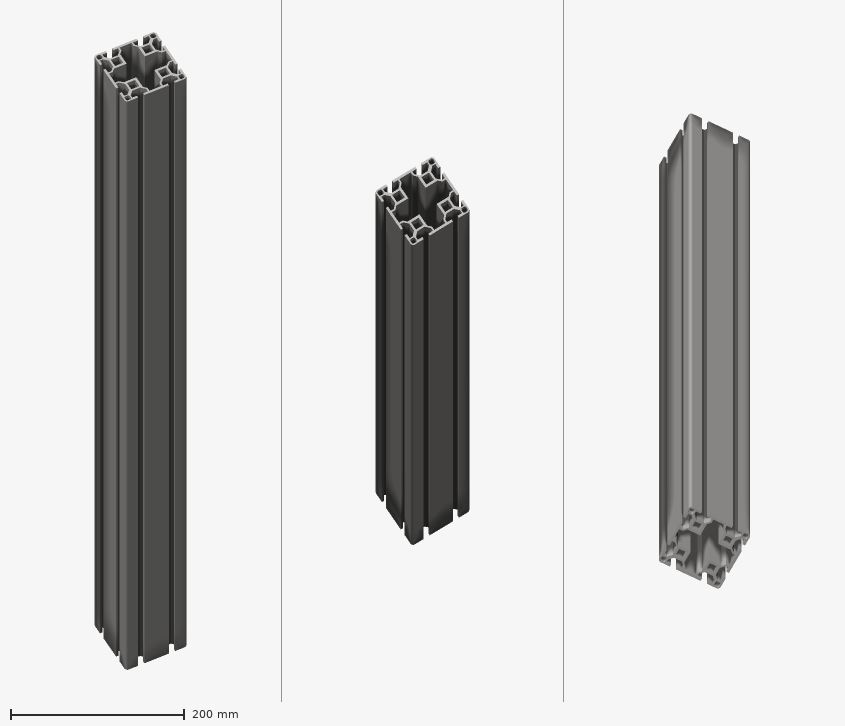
import math

import cadquery as cq

side = 80.0
length = 1000.0
corner_radius = 3.8

slot_pitch = 40.0
slot_opening = 8.2
slot_width = 20.5
slot_depth = 12.25
slot_floor_width = 10.0
lip_thickness = 3.0

core_side = 16.5
core_hole_side = 10.5

chamber_side = 6.5
chamber_wall = 1.75

face_wall = 3.0
arm_end_width = 15.5
web_thickness = 2.0

half_side = side / 2
slot_offset = slot_pitch / 2
slot_floor_y = half_side - slot_depth
core_inner = slot_offset - core_side / 2


def mirrored_prism(right_points, centre_x=0.0):
    """Full-length prism whose outline is the given right half plus its mirror image about x = centre_x."""
    left_points = [(-x, y) for x, y in reversed(right_points)]
    outline = [(centre_x + x, y) for x, y in right_points + left_points]
    return cq.Workplane("XY").polyline(outline).close().extrude(length)


def t_slot(centre_x):
    """T-slot in the +Y face, with 45 degree flanks down to its floor."""
    mouth = slot_opening / 2
    cavity = slot_width / 2
    floor = slot_floor_width / 2
    shoulder_y = half_side - lip_thickness
    flank_y = slot_floor_y + cavity - floor
    right_points = [
        (mouth, half_side),
        (mouth, shoulder_y),
        (cavity, shoulder_y),
        (cavity, flank_y),
        (floor, slot_floor_y),
    ]
    return mirrored_prism(right_points, centre_x)


def cavity_arm():
    """Arm of the central cavity towards the +Y face, leaving even webs beside the slot flanks."""
    end_x = arm_end_width / 2
    slot_flank_sum = slot_offset - slot_floor_width / 2 + slot_floor_y
    flank_sum = slot_flank_sum - web_thickness * math.sqrt(2)
    right_points = [
        (core_inner, 0),
        (core_inner, flank_sum - core_inner),
        (end_x, flank_sum - end_x),
        (end_x, half_side - face_wall),
    ]
    return mirrored_prism(right_points)


def cut_on_every_face(body, cutter):
    """Cut the same shape into all four faces of the profile."""
    for face in range(4):
        body = body.cut(cutter.rotate((0, 0, 0), (0, 0, 1), 90 * face))
    return body


def four_square_holes(spacing, hole_side):
    """Full-length square prisms, one in each quadrant."""
    return cq.Workplane("XY").rarray(spacing, spacing, 2, 2).rect(hole_side, hole_side).extrude(length)


def corner_chambers():
    """Chambers in the outer corners, rounded to follow the outer corner radius."""
    spacing = side - 2 * chamber_wall - chamber_side
    chambers = four_square_holes(spacing, chamber_side)
    return chambers.edges("|Z").fillet(corner_radius - chamber_wall)


profile = cq.Workplane("XY").rect(side, side).extrude(length).edges("|Z").fillet(corner_radius)
profile = cut_on_every_face(profile, t_slot(-slot_offset))
profile = cut_on_every_face(profile, t_slot(slot_offset))
profile = cut_on_every_face(profile, cavity_arm())
profile = profile.cut(four_square_holes(slot_pitch, core_hole_side))
result = profile.cut(corner_chambers())